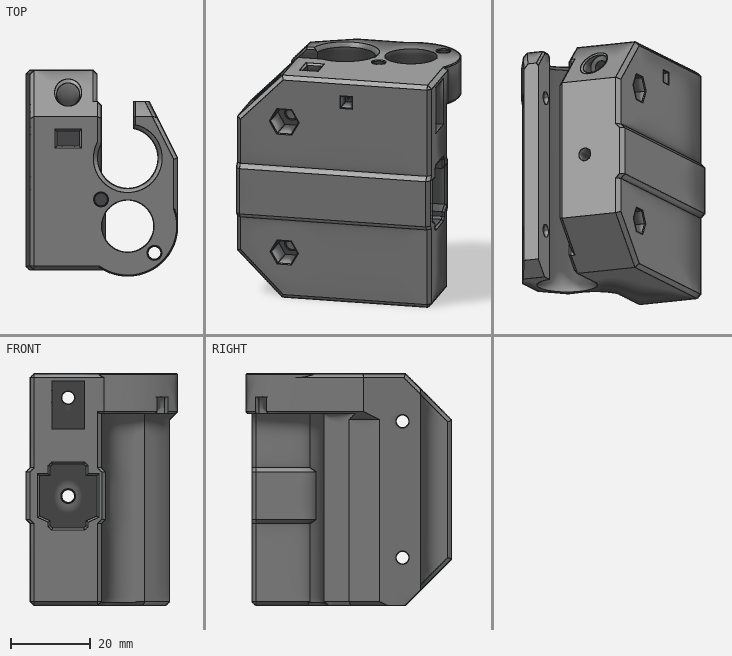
import cadquery as cq
import math

HEIGHT = 58.0

BLOCK_LEFT = -24.4
BLOCK_RIGHT = -6.6
BLOCK_FRONT = -11.0
BLOCK_REAR = 39.0
REAR_CORNER = 11.6
BEVEL = 1.0
REAR_RELIEF_RIGHT = -7.65

BAND_PROUD = 1.1
BAND_BOTTOM = 20.5
BAND_TOP = 34.5
BAND_RIGHT_REAR = 8.0

FLANGE_RADIUS = 12.5
FLANGE_BOTTOM = 48.0
FLANGE_TOP_BEVEL = 0.25
FLANGE_BOTTOM_BEVEL = 0.5
NUT_HOLE_DIAMETER = 13.02
RELIEF_RADIUS = 7.5
RELIEF_BEVEL = 0.75
NUT_SCREW_CIRCLE_RADIUS = 9.45
NUT_TRAP_CORNERS = 7.2
NUT_TRAP_TURN = -15
NUT_TRAP_TOP = 52.2

BEARING_Y = 17.0
BEARING_RADIUS = 7.55
BEARING_BEVEL = 1.05
CLIP_TOP_BEVEL = 1.0
CLIP_GAP_RIGHT = 1.45
CLIP_GAP_BEVEL = 0.5
CLIP_REAR = 31.2
CLIP_TIP_X = 5.35
CLIP_WALL_FRONT = 7.1
CLIP_WALL_CORNER = 4.25
CLIP_WALL_RIGHT = 10.5
CLIP_OVERHANG_TOP = 48.5
CLIP_OVERHANG_BOTTOM = CLIP_OVERHANG_TOP - (FLANGE_RADIUS - CLIP_WALL_RIGHT)

SCREW_DIAMETER = 3.2
SCREW_BEVEL = 0.25

TENSIONER_X = -14.9
TENSIONER_Z = 52.0
TENSIONER_HEAD_DIAMETER = 5.8
TENSIONER_HEAD_BEVEL = 0.5
TENSIONER_HEAD_FLOOR = 29.0
TENSIONER_NUT_WIDTH = 5.6
TENSIONER_NUT_FRONT = 20.0
TENSIONER_NUT_REAR = 23.75
TENSIONER_NUT_FLOOR = 49.2
TENSIONER_NUT_BEVEL = 0.5

UPPER_POCKET_WIDTH = 8.2
UPPER_POCKET_BOTTOM = 44.2
UPPER_POCKET_TOP = 56.2
UPPER_POCKET_REAR = 12.4
WINDOW_SIZE = 2.9
WINDOW_Y = 10.75
WINDOW_Z = 52.3
WINDOW_BEVEL = 0.2

LOWER_X = TENSIONER_X
LOWER_HALF_WIDTH = 7.15
LOWER_NECK_HALF = 4.5
LOWER_BOTTOM = 19.4
LOWER_TOP = 35.4
LOWER_SHOULDER_TOP = 32.5
LOWER_SHOULDER_LOW = 22.4
LOWER_NECK_LOW = 21.2
LOWER_CORNER = 0.6
LOWER_REAR = 30.0
LOWER_BEVEL = 0.5
LOWER_SCREW_Z = 27.4

CLAMP_Y = 26.7
CLAMP_NUTS = ((12.0, 6.75), (46.1, 7.2))
CLAMP_NUT_BEVEL = 0.25
CLAMP_NUT_DEPTH = 8.0

HEXAGON = 6
TOLERANCE = 0.001


def box(x0, x1, y0, y1, z0, z1):
    """Box between the given limits."""
    return cq.Workplane("XY").box(x1 - x0, y1 - y0, z1 - z0, centered=False).translate((x0, y0, z0))


def upright(x, y, diameter, bottom, top):
    """Cylinder along Z."""
    return cq.Workplane("XY", (x, y, bottom)).circle(diameter / 2).extrude(top - bottom)


def countersink(plane, diameter, bevel):
    """Conical widening that starts on the given plane and narrows along its normal."""
    wide = plane.circle(diameter / 2 + bevel)
    return wide.workplane(offset=bevel).circle(diameter / 2).loft()


def flared(plane, width, height, bevel):
    """Rectangular widening that starts on the given plane and narrows along its normal."""
    wide = plane.rect(width + 2 * bevel, height + 2 * bevel)
    return wide.workplane(offset=bevel).rect(width, height).loft()


def top_plane(x, y):
    """Plane on the top face, with its normal pointing down into the part."""
    return cq.Workplane(cq.Plane((x, y, HEIGHT), (1, 0, 0), (0, 0, -1)))


def front_plane(x, z, y=BLOCK_FRONT):
    """Plane facing backwards, with its first axis along X."""
    return cq.Workplane(cq.Plane((x, y, z), (1, 0, 0), (0, 1, 0)))


def left_plane(y, z, x=BLOCK_LEFT):
    """Plane facing +X, with its first axis along Y."""
    return cq.Workplane(cq.Plane((x, y, z), (0, 1, 0), (1, 0, 0)))


def extrude_side(x0, x1):
    """Slab across X in the side outline, with the rear top and bottom corners cut off."""
    corner_y = BLOCK_REAR - REAR_CORNER
    points = [
        (BLOCK_FRONT, 0),
        (corner_y, 0),
        (BLOCK_REAR, REAR_CORNER),
        (BLOCK_REAR, HEIGHT - REAR_CORNER),
        (corner_y, HEIGHT),
        (BLOCK_FRONT, HEIGHT),
    ]
    return cq.Workplane("YZ", (x0, 0, 0)).polyline(points).close().extrude(x1 - x0)


def make_block():
    """Main block: a full-length body and a wider part that stops at the clip's rear end."""
    body = extrude_side(BLOCK_LEFT, REAR_RELIEF_RIGHT).edges("<X or >X or <Y").chamfer(BEVEL)
    wide = extrude_side(BLOCK_LEFT + BEVEL, BLOCK_RIGHT)
    wide = wide.intersect(box(BLOCK_LEFT, BLOCK_RIGHT, BLOCK_FRONT, CLIP_REAR, 0, HEIGHT))
    wide = wide.edges(">X or <Y").chamfer(BEVEL)
    return body.union(wide)


def band_outline(proud):
    """Outline of the band standing proud of the block: full length on the left, short on the right."""
    left = BLOCK_LEFT - proud
    right = BLOCK_RIGHT + proud
    inner = REAR_RELIEF_RIGHT - BEVEL
    return [
        (left + BEVEL, BLOCK_FRONT),
        (left, BLOCK_FRONT + BEVEL),
        (left, BLOCK_REAR - BEVEL),
        (left + BEVEL, BLOCK_REAR),
        (inner, BLOCK_REAR),
        (inner, BAND_RIGHT_REAR),
        (right, BAND_RIGHT_REAR),
        (right, BLOCK_FRONT + BEVEL),
        (right - BEVEL, BLOCK_FRONT),
    ]


def make_band():
    """Raised band whose upper and lower edges slope back to the surface of the block."""
    proud = band_outline(BAND_PROUD)
    flush = band_outline(0)
    middle = BAND_TOP - BAND_BOTTOM - 2 * BAND_PROUD
    band = cq.Workplane("XY", (0, 0, BAND_BOTTOM + BAND_PROUD)).polyline(proud).close().extrude(middle)
    for base, direction in ((BAND_BOTTOM, 1), (BAND_TOP, -1)):
        slope = cq.Workplane("XY", (0, 0, base)).polyline(flush).close()
        slope = slope.workplane(offset=direction * BAND_PROUD).polyline(proud).close()
        band = band.union(slope.loft(ruled=True))
    return band


def extrude_clip(right, bottom, top, front, corner):
    """Bearing clip between two heights, with a slanted outer side and a 45 degree front corner."""
    slope = (FLANGE_RADIUS - CLIP_TIP_X) / (CLIP_REAR - BEARING_Y)
    slant_y = CLIP_REAR - (right - CLIP_TIP_X) / slope
    points = [
        (BLOCK_RIGHT - BEVEL, front),
        (corner, front),
    ]
    if corner < right:
        points.append((right, front + right - corner))
    points += [
        (right, slant_y),
        (CLIP_TIP_X, CLIP_REAR),
        (BLOCK_RIGHT - BEVEL, CLIP_REAR),
    ]
    return cq.Workplane("XY", (0, 0, bottom)).polyline(points).close().extrude(top - bottom)


def make_wall():
    """Bearing wall below the flange, before it is relieved around the lead screw."""
    wall = extrude_clip(CLIP_WALL_RIGHT, 0, CLIP_OVERHANG_BOTTOM, CLIP_WALL_FRONT, CLIP_WALL_CORNER)
    wall = wall.edges("<Z").edges(">X or <Y or >(1,-1,0)").chamfer(BEVEL)
    return wall.union(box(BLOCK_RIGHT - BEVEL, 0, 0, BEARING_Y, 0, FLANGE_BOTTOM))


def make_relief():
    """Round relief around the lead screw below the flange, widening at the bottom."""
    relief = upright(0, 0, 2 * RELIEF_RADIUS, 0, FLANGE_BOTTOM)
    return relief.union(countersink(cq.Workplane("XY"), 2 * RELIEF_RADIUS, RELIEF_BEVEL))


def make_flange():
    """Disc around the lead screw nut, and the part of the top plate that joins it to the block."""
    disc = upright(0, 0, 2 * FLANGE_RADIUS, FLANGE_BOTTOM, HEIGHT)
    disc = disc.faces("<Z").chamfer(FLANGE_BOTTOM_BEVEL).faces(">Z").chamfer(FLANGE_TOP_BEVEL)
    joint_right = -math.sqrt(FLANGE_RADIUS**2 - BLOCK_FRONT**2)
    joint = box(BLOCK_RIGHT - 2 * BEVEL, joint_right, BLOCK_FRONT, 0, FLANGE_BOTTOM, HEIGHT)
    joint = joint.edges("<Y and >Z").chamfer(BEVEL).edges("<Y and <Z").chamfer(FLANGE_BOTTOM_BEVEL)
    filler = box(BLOCK_RIGHT - 2 * BEVEL, 0, 0, BEARING_Y, FLANGE_BOTTOM, HEIGHT)
    return disc.union(joint).union(filler)


def is_upper_edge(edge):
    """True for edges of the top face and of the slope behind it."""
    return edge.Center().z > HEIGHT - (CLIP_REAR - BLOCK_REAR + REAR_CORNER)


def make_upper_clip():
    """Upper end of the clip, wider than the wall and carried by a 45 degree overhang."""
    clip = extrude_clip(FLANGE_RADIUS, CLIP_OVERHANG_BOTTOM, HEIGHT, 0, FLANGE_RADIUS)
    clip = clip.intersect(extrude_side(BLOCK_LEFT, FLANGE_RADIUS))
    outer = clip.edges().filter(lambda edge: edge.Center().x > CLIP_TIP_X and is_upper_edge(edge))
    clip = outer.chamfer(CLIP_TOP_BEVEL)
    overhang = [
        (CLIP_WALL_RIGHT, CLIP_OVERHANG_BOTTOM),
        (FLANGE_RADIUS, CLIP_OVERHANG_TOP),
        (FLANGE_RADIUS, CLIP_OVERHANG_BOTTOM),
    ]
    below = cq.Workplane("XZ", (0, CLIP_REAR, 0)).polyline(overhang).close().extrude(CLIP_REAR)
    front_gap = [
        (-FLANGE_RADIUS, 0),
        (FLANGE_RADIUS, 0),
        (FLANGE_RADIUS, CLIP_WALL_FRONT + FLANGE_RADIUS - CLIP_WALL_CORNER),
        (CLIP_WALL_CORNER, CLIP_WALL_FRONT),
        (-FLANGE_RADIUS, CLIP_WALL_FRONT),
    ]
    open_front = cq.Workplane("XY").polyline(front_gap).close().extrude(FLANGE_BOTTOM)
    return clip.cut(below).cut(open_front)


def make_bearing_cut():
    """Bearing bore and the gap of the clip towards the rear."""
    bore = upright(0, BEARING_Y, 2 * BEARING_RADIUS, 0, HEIGHT)
    gap = box(BLOCK_RIGHT - BEVEL, CLIP_GAP_RIGHT, BEARING_Y, CLIP_REAR, 0, HEIGHT)
    return bore.union(gap)


def is_on_gap(edge):
    """True for edges on the right side of the clip's gap."""
    return math.isclose(edge.Center().x, CLIP_GAP_RIGHT, abs_tol=TOLERANCE)


def make_bearing_mouth():
    """Full round bore through the top plate with a conical lead-in."""
    bore = upright(0, BEARING_Y, 2 * BEARING_RADIUS, FLANGE_BOTTOM, HEIGHT)
    return bore.union(countersink(top_plane(0, BEARING_Y), 2 * BEARING_RADIUS, BEARING_BEVEL))


def make_nut_cuts():
    """Lead screw nut hole, its two screws and the nut trap of the outer screw."""
    offset = NUT_SCREW_CIRCLE_RADIUS / math.sqrt(2)
    cuts = upright(0, 0, NUT_HOLE_DIAMETER, FLANGE_BOTTOM, HEIGHT)
    for x, y in ((offset, -offset), (-offset, offset)):
        cuts = cuts.union(upright(x, y, SCREW_DIAMETER, FLANGE_BOTTOM, HEIGHT))
        cuts = cuts.union(countersink(top_plane(x, y), SCREW_DIAMETER, SCREW_BEVEL))
    trap = cq.Workplane("XY", (offset, -offset, FLANGE_BOTTOM)).polygon(HEXAGON, NUT_TRAP_CORNERS)
    trap = trap.extrude(NUT_TRAP_TOP - FLANGE_BOTTOM)
    trap = trap.rotate((offset, -offset, 0), (offset, -offset, 1), NUT_TRAP_TURN)
    return cuts.union(trap)


def tensioner_head_mouth():
    """Widening of the head bore where it leaves through the 45 degree rear slope."""
    mouth_y = BLOCK_REAR - REAR_CORNER + HEIGHT - TENSIONER_Z
    rings = []
    for bevel in (TENSIONER_HEAD_BEVEL, 0):
        y = mouth_y - TENSIONER_HEAD_BEVEL + bevel
        plane = cq.Plane((TENSIONER_X, y, TENSIONER_Z), (1, 0, 0), (0, 1, 1))
        radius = TENSIONER_HEAD_DIAMETER / 2 + bevel
        rings.append(cq.Workplane(plane).ellipse(radius, radius * math.sqrt(2)).val())
    return cq.Workplane(cq.Solid.makeLoft(rings))


def make_tensioner_cuts():
    """Tensioner screw along Y, its head bore from the rear and its nut slot from the top."""
    length = BLOCK_REAR - BLOCK_FRONT
    cuts = front_plane(TENSIONER_X, TENSIONER_Z).circle(SCREW_DIAMETER / 2).extrude(length)
    head = front_plane(TENSIONER_X, TENSIONER_Z, TENSIONER_HEAD_FLOOR).circle(TENSIONER_HEAD_DIAMETER / 2)
    cuts = cuts.union(head.extrude(BLOCK_REAR - TENSIONER_HEAD_FLOOR))
    slot_y = (TENSIONER_NUT_FRONT + TENSIONER_NUT_REAR) / 2
    slot_length = TENSIONER_NUT_REAR - TENSIONER_NUT_FRONT
    slot = top_plane(TENSIONER_X, slot_y).rect(TENSIONER_NUT_WIDTH, slot_length)
    flare = flared(top_plane(TENSIONER_X, slot_y), TENSIONER_NUT_WIDTH, slot_length, TENSIONER_NUT_BEVEL)
    cuts = cuts.union(tensioner_head_mouth())
    return cuts.union(slot.extrude(HEIGHT - TENSIONER_NUT_FLOOR)).union(flare)


def make_upper_pocket():
    """Rectangular pocket in the front with a square window through the left wall."""
    height = UPPER_POCKET_TOP - UPPER_POCKET_BOTTOM
    center_z = UPPER_POCKET_BOTTOM + height / 2
    pocket = front_plane(TENSIONER_X, center_z).rect(UPPER_POCKET_WIDTH, height)
    pocket = pocket.extrude(UPPER_POCKET_REAR - BLOCK_FRONT)
    window_plane = left_plane(WINDOW_Y, WINDOW_Z)
    window = window_plane.rect(WINDOW_SIZE, WINDOW_SIZE).extrude(TENSIONER_X - BLOCK_LEFT)
    return pocket.union(window).union(flared(window_plane, WINDOW_SIZE, WINDOW_SIZE, WINDOW_BEVEL))


def make_lower_pocket():
    """Cross-shaped front pocket with a flared mouth and a screw hole through to the rear."""
    right_half = [
        (LOWER_NECK_HALF - LOWER_CORNER, LOWER_TOP),
        (LOWER_NECK_HALF, LOWER_TOP - LOWER_CORNER),
        (LOWER_NECK_HALF, LOWER_SHOULDER_TOP),
        (LOWER_HALF_WIDTH, LOWER_SHOULDER_TOP),
        (LOWER_HALF_WIDTH, LOWER_SHOULDER_LOW),
        (LOWER_NECK_HALF, LOWER_NECK_LOW),
        (LOWER_NECK_HALF, LOWER_BOTTOM + LOWER_CORNER),
        (LOWER_NECK_HALF - LOWER_CORNER, LOWER_BOTTOM),
    ]
    left_half = [(-x, z) for x, z in reversed(right_half)]
    outline = right_half + left_half
    pocket = cq.Workplane("XZ", (LOWER_X, LOWER_REAR, 0)).polyline(outline).close()
    pocket = pocket.extrude(LOWER_REAR - BLOCK_FRONT)
    throat = cq.Workplane("XZ", (LOWER_X, BLOCK_FRONT + LOWER_BEVEL, 0)).polyline(outline).close()
    rim = cq.Workplane("XZ", (LOWER_X, BLOCK_FRONT, 0)).polyline(outline).close()
    rim = rim.offset2D(LOWER_BEVEL, "intersection")
    mouth = cq.Solid.makeLoft([rim.val(), throat.val()], True)
    pocket = pocket.union(cq.Workplane(mouth))
    screw_plane = front_plane(LOWER_X, LOWER_SCREW_Z, LOWER_REAR)
    screw = screw_plane.circle(SCREW_DIAMETER / 2).extrude(BLOCK_REAR - LOWER_REAR)
    return pocket.union(screw).union(countersink(screw_plane, SCREW_DIAMETER, SCREW_BEVEL))


def make_clamp_cuts():
    """Clamp screws along X with hexagonal nut traps on the left side."""
    cuts = cq.Workplane("XY")
    for z, corners in CLAMP_NUTS:
        plane = left_plane(CLAMP_Y, z)
        cuts = cuts.union(plane.circle(SCREW_DIAMETER / 2).extrude(FLANGE_RADIUS - BLOCK_LEFT))
        cuts = cuts.union(plane.polygon(HEXAGON, corners).extrude(CLAMP_NUT_DEPTH))
        mouth = plane.polygon(HEXAGON, corners + 2 * CLAMP_NUT_BEVEL)
        cuts = cuts.union(mouth.workplane(offset=CLAMP_NUT_BEVEL).polygon(HEXAGON, corners).loft())
        floor = left_plane(CLAMP_Y, z, BLOCK_LEFT + CLAMP_NUT_DEPTH)
        cuts = cuts.union(countersink(floor, SCREW_DIAMETER, SCREW_BEVEL))
    return cuts


clip = make_wall().union(make_upper_clip()).intersect(extrude_side(BLOCK_LEFT, FLANGE_RADIUS))
clip = clip.cut(make_relief()).union(make_flange())
clip = clip.cut(make_bearing_cut())
gap_edges = clip.edges().filter(lambda edge: is_upper_edge(edge) and is_on_gap(edge))
clip = gap_edges.chamfer(CLIP_GAP_BEVEL)

result = make_block().union(make_band()).union(clip)
result = result.cut(make_bearing_mouth())
result = result.cut(make_nut_cuts())
result = result.cut(make_tensioner_cuts())
result = result.cut(make_upper_pocket())
result = result.cut(make_lower_pocket())
result = result.cut(make_clamp_cuts())